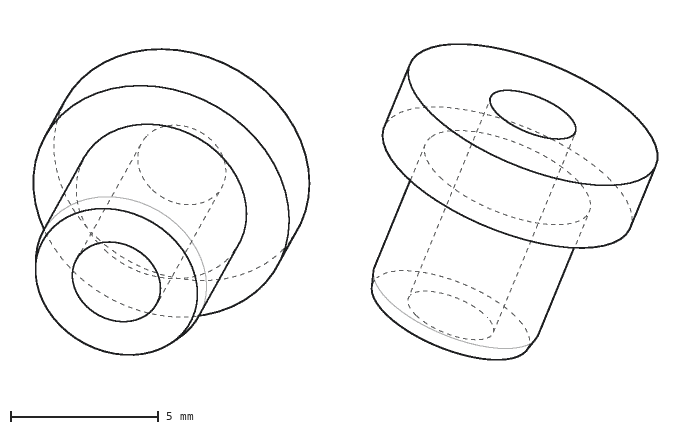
import cadquery as cq
import math

total_length = 8.0
flange_diameter = 9.0
flange_thickness = 2.5
shank_diameter = 6.0
bore_diameter = 3.1

taper_depth = 0.15
taper_angle = 15.0

flange_radius = flange_diameter / 2
shank_radius = shank_diameter / 2
bore_radius = bore_diameter / 2
shank_end_y = flange_thickness - total_length
taper_length = taper_depth / math.tan(math.radians(taper_angle))


def bushing():
    """Half section of the bushing, bore included, turned a full revolution about Y."""
    half_section = (
        cq.Workplane("XY")
        .moveTo(bore_radius, shank_end_y)
        .lineTo(shank_radius - taper_depth, shank_end_y)
        .lineTo(shank_radius, shank_end_y + taper_length)
        .lineTo(shank_radius, 0)
        .lineTo(flange_radius, 0)
        .lineTo(flange_radius, flange_thickness)
        .lineTo(bore_radius, flange_thickness)
        .close()
    )
    return half_section.revolve(360, (0, 0, 0), (0, 1, 0))


result = bushing()